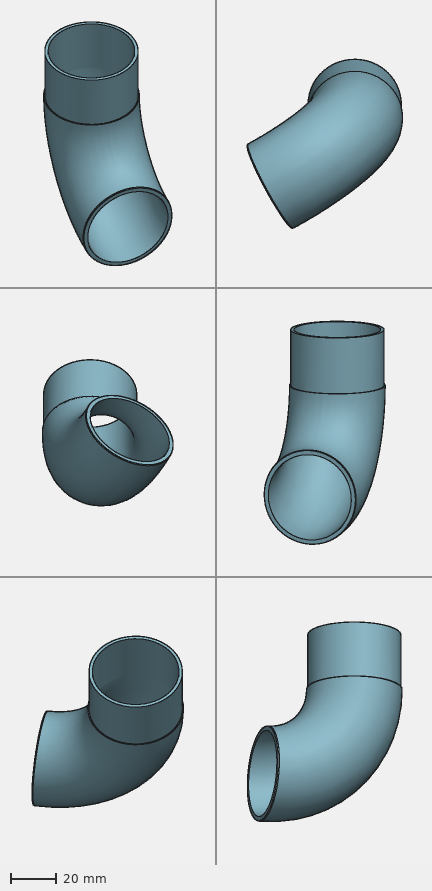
import cadquery as cq

height = 89.0
spigot_length = 25.0
spigot_diameter = 41.3
elbow_diameter = 42.4
bore_diameter = 38.3
mouth_chamfer_length = 0.5
mouth_chamfer_depth = 0.2

bend_height = height - spigot_length
elbow_radius = elbow_diameter / 2
bend_radius = bend_height - elbow_radius


def quarter_bend(diameter):
    """Quarter torus from the foot of the spigot round to the +X mouth."""
    return (
        cq.Workplane("XY")
        .workplane(offset=bend_height)
        .circle(diameter / 2)
        .revolve(90, (bend_radius, 0.9, 0), (bend_radius, 0, 0))
    )


def spigot_cylinder(diameter):
    """Vertical cylinder rising from the top of the bend."""
    return (
        cq.Workplane("XY")
        .workplane(offset=bend_height)
        .circle(diameter / 2)
        .extrude(spigot_length)
    )


def mouth_chamfer_cutter():
    """Ring that bevels the outer rim of the mouth, long along X and shallow across it."""
    margin = 0.9
    start_x = bend_radius - mouth_chamfer_length
    rim_radius = elbow_radius - mouth_chamfer_depth
    return (
        cq.Workplane("XY", origin=(0, 0, elbow_radius))
        .moveTo(start_x, elbow_radius)
        .lineTo(bend_radius, rim_radius)
        .lineTo(bend_radius, elbow_radius + margin)
        .lineTo(start_x, elbow_radius + margin)
        .close()
        .revolve(360, (0, 0, 0), (1, 0, 0))
    )


outside = quarter_bend(elbow_diameter).union(spigot_cylinder(spigot_diameter))
outside = outside.cut(mouth_chamfer_cutter())

bore = quarter_bend(bore_diameter).union(spigot_cylinder(bore_diameter))

result = outside.cut(bore)